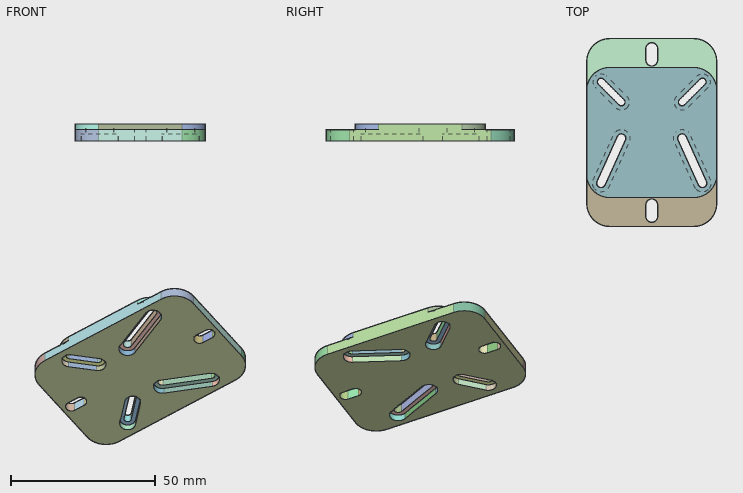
import cadquery as cq
import math

width = 45.0
base_length = 65.0
base_height = 4.0
corner_radius = 8.0

pad_length = width
pad_height = 2.0
total_height = base_height + pad_height

mount_slot_width = 4.0
mount_slot_length = 8.0
mount_slot_y = 27.0

slot_outer = 17.5
slot_inner_x = 10.5
upper_inner_y = 10.5
lower_inner_y = -2.0
upper_slot_diameter = 2.5
lower_slot_diameter = 3.0

recess_depth = 2.5
recess_margin = 1.5


def rounded_plate(length, bottom, height):
    """Plate of the full width with rounded vertical corners."""
    plate = cq.Workplane("XY").workplane(offset=bottom).rect(width, length).extrude(height)
    return plate.edges("|Z").fillet(corner_radius)


def slot_between(start, end, diameter, height):
    """Round-ended slot body, rising from the underside, between two end centres."""
    run = end[0] - start[0]
    rise = end[1] - start[1]
    distance = math.hypot(run, rise)
    angle = math.degrees(math.atan2(rise, run))
    middle = ((start[0] + end[0]) / 2, (start[1] + end[1]) / 2)
    return (
        cq.Workplane("XY")
        .center(*middle)
        .slot2D(distance + diameter, diameter, angle)
        .extrude(height)
    )


def recessed_slot(inner, outer, diameter):
    """Through slot with a wider recess along it on the underside."""
    slot = slot_between(inner, outer, diameter, total_height)
    recess = slot_between(inner, outer, diameter + 2 * recess_margin, recess_depth)
    return slot.union(recess)


result = rounded_plate(base_length, 0, base_height)
result = result.union(rounded_plate(pad_length, base_height, pad_height))

mount_slots = (
    cq.Workplane("XY")
    .pushPoints([(0, mount_slot_y), (0, -mount_slot_y)])
    .slot2D(mount_slot_length, mount_slot_width, 90)
    .extrude(base_height)
)
result = result.cut(mount_slots)

for side in (-1, 1):
    upper_inner = (side * slot_inner_x, upper_inner_y)
    upper_outer = (side * slot_outer, slot_outer)
    lower_inner = (side * slot_inner_x, lower_inner_y)
    lower_outer = (side * slot_outer, -slot_outer)
    result = result.cut(recessed_slot(upper_inner, upper_outer, upper_slot_diameter))
    result = result.cut(recessed_slot(lower_inner, lower_outer, lower_slot_diameter))